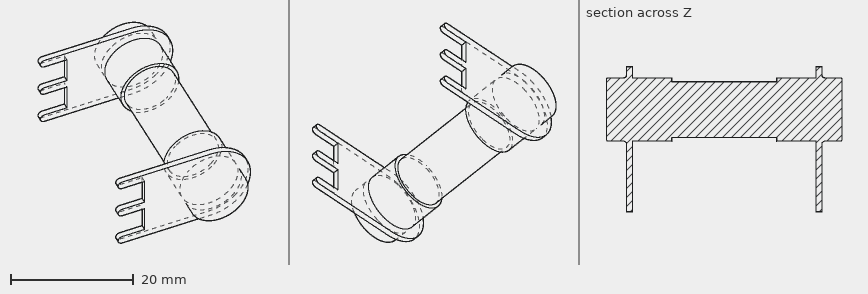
import cadquery as cq

length = 38.5
plate_height = 14.0
plate_reach = 23.7

body_radius = 4.6
cap_radius = 5.2
cap_length = 10.7
cap_edge_round = 0.27

plate_thickness = 1.0
plate_inset = 3.27
collar_fillet = 0.45

pin_width = 1.5
pin_length = 4.75

plate_radius = plate_height / 2
pin_tip_y = plate_radius - plate_reach
pin_root_y = pin_tip_y + pin_length
pin_spacing = (plate_height - pin_width) / 2


def make_body():
    """Plain cylinder filling the gap between the two caps."""
    body_length = length - 2 * cap_length
    return cq.Workplane("YZ").circle(body_radius).extrude(body_length / 2, both=True)


def make_cap():
    """Cap at the -X end, with its outer rim rounded."""
    cap = cq.Workplane("YZ", origin=(-length / 2, 0, 0)).circle(cap_radius).extrude(cap_length)
    return cap.faces("<X").edges().fillet(cap_edge_round)


def make_collar():
    """Solid of revolution whose concave flank blends the cap into the plate."""
    plate_face_x = plate_inset - length / 2
    collar_start_x = plate_face_x - collar_fillet
    collar_radius = cap_radius + collar_fillet
    arc_offset = collar_fillet * 0.5**0.5
    arc_middle = (collar_start_x + arc_offset, collar_radius - arc_offset)
    return (
        cq.Workplane("XY")
        .moveTo(collar_start_x, 0)
        .lineTo(collar_start_x, cap_radius)
        .threePointArc(arc_middle, (plate_face_x, collar_radius))
        .lineTo(plate_face_x, 0)
        .close()
        .revolve(360, (0, 0, 0), (1, 0, 0))
    )


def make_plate():
    """Plate around the cap: round at +Y, three round-tipped pins at -Y."""
    plane = cq.Workplane("YZ", origin=(plate_inset - length / 2, 0, 0))
    plate = (
        plane.moveTo(0, plate_radius)
        .threePointArc((plate_radius, 0), (0, -plate_radius))
        .lineTo(pin_root_y, -plate_radius)
        .lineTo(pin_root_y, plate_radius)
        .close()
        .extrude(plate_thickness)
    )
    pin_radius = pin_width / 2
    for z in (-pin_spacing, 0, pin_spacing):
        pin = (
            plane.moveTo(pin_root_y, z + pin_radius)
            .lineTo(pin_tip_y + pin_radius, z + pin_radius)
            .threePointArc((pin_tip_y, z), (pin_tip_y + pin_radius, z - pin_radius))
            .lineTo(pin_root_y, z - pin_radius)
            .close()
            .extrude(plate_thickness)
        )
        plate = plate.union(pin)
    return plate


end_fitting = make_cap().union(make_collar()).union(make_plate())
result = make_body().union(end_fitting).union(end_fitting.mirror("YZ"))